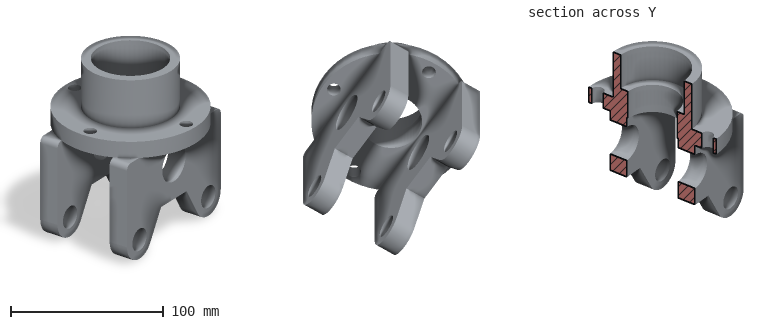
import cadquery as cq
import math

flange_diameter = 105.0
flange_thickness = 12.0
hub_diameter = 65.0
hub_height = 35.0
hub_top = flange_thickness + hub_height

bore_diameter = 40.0
counterbore_diameter = 52.0
counterbore_depth = 26.0

bolt_hole_diameter = 9.0
bolt_circle_diameter = 90.0
bolt_count = 4

plate_width = flange_diameter
plate_height = 74.0
plate_thickness = 14.0
plate_gap = 42.0
plate_corner_radius = 4.0
foot_radius = 14.0
notch_depth = 46.0
notch_top_half_width = 14.3
cross_hole_diameter = 26.0
cross_hole_drop = 20.0
foot_hole_diameter = 16.0
foot_y = plate_width / 2 - foot_radius
foot_z = foot_radius - plate_height


def make_flanged_hub():
    """Flange and hub with the stepped bore and the ring of bolt holes."""
    flange = cq.Workplane("XY").circle(flange_diameter / 2).extrude(flange_thickness)
    hub = cq.Workplane("XY").circle(hub_diameter / 2).extrude(hub_top)
    bore = cq.Workplane("XY").circle(bore_diameter / 2).extrude(hub_top)
    counterbore = (
        cq.Workplane("XY", origin=(0, 0, hub_top))
        .circle(counterbore_diameter / 2)
        .extrude(-counterbore_depth)
    )
    bolt_holes = (
        cq.Workplane("XY")
        .polarArray(bolt_circle_diameter / 2, 0, 360, bolt_count)
        .circle(bolt_hole_diameter / 2)
        .extrude(flange_thickness)
    )
    return flange.union(hub).cut(bore).cut(counterbore).cut(bolt_holes)


def notch_tangent_angle():
    """Angle, seen from the foot centre, where the notch flank touches the foot arc."""
    dy = notch_top_half_width - foot_y
    dz = -notch_depth - foot_z
    corner_direction = math.atan2(dz, dy)
    return corner_direction + math.acos(foot_radius / math.hypot(dy, dz))


def foot_point(angle):
    """Point on the rim of the +Y foot at the given angle from +Y."""
    return foot_y + foot_radius * math.cos(angle), foot_z + foot_radius * math.sin(angle)


def mirrored(point):
    return -point[0], point[1]


def make_plate(x_start):
    """One fork plate with two rounded feet, starting at x_start and growing in +X."""
    half_width = plate_width / 2
    tangent_angle = notch_tangent_angle()
    outer_tangent = foot_point(0)
    foot_bottom = foot_point(-math.pi / 2)
    inner_tangent = foot_point(tangent_angle)
    notch_corner = (notch_top_half_width, -notch_depth)
    plate = (
        cq.Workplane("YZ", origin=(x_start, 0, 0))
        .moveTo(-half_width, 0)
        .lineTo(half_width, 0)
        .lineTo(*outer_tangent)
        .threePointArc(foot_bottom, inner_tangent)
        .lineTo(*notch_corner)
        .lineTo(*mirrored(notch_corner))
        .lineTo(*mirrored(inner_tangent))
        .threePointArc(mirrored(foot_bottom), mirrored(outer_tangent))
        .close()
        .extrude(plate_thickness)
    )
    plate = plate.faces(">Z").edges("|X").fillet(plate_corner_radius)
    holes = (
        cq.Workplane("YZ", origin=(x_start, 0, 0))
        .pushPoints([(-foot_y, foot_z), (foot_y, foot_z)])
        .circle(foot_hole_diameter / 2)
        .extrude(plate_thickness)
    )
    cross_hole = (
        cq.Workplane("YZ", origin=(x_start, 0, 0))
        .center(0, -cross_hole_drop)
        .circle(cross_hole_diameter / 2)
        .extrude(plate_thickness)
    )
    return plate.cut(holes).cut(cross_hole)


result = make_flanged_hub()
for plate_x in (-plate_gap / 2 - plate_thickness, plate_gap / 2):
    result = result.union(make_plate(plate_x))